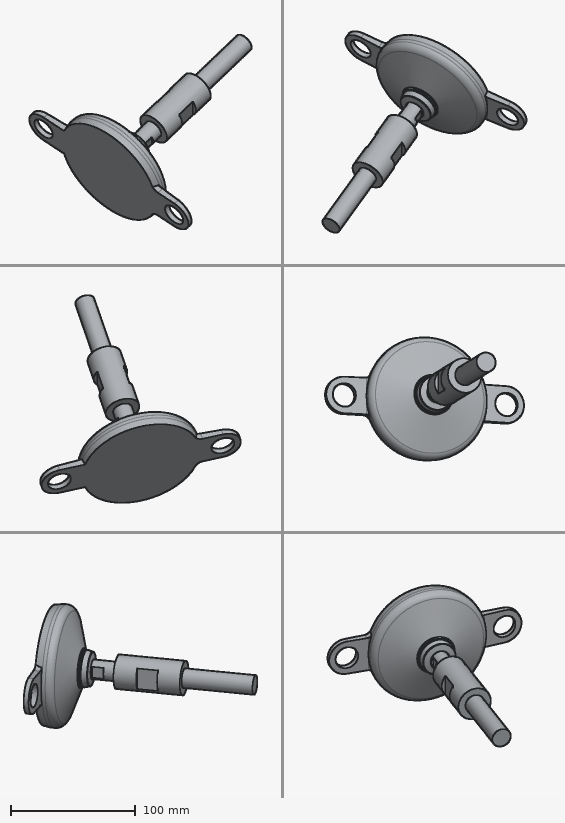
import cadquery as cq
import math


foot_radius = 50.0
underside_radius = 49.0
pad_height = 6.1
rim_top = 9.0
rim_round = 7.0
dome_top_radius = 16.3
dome_top = 26.9

flare_top_radius = 15.3
flare_top = 27.9
neck_radius = 14.8
neck_top = 28.9
collar_radius = 15.3
collar_bottom = 29.5
collar_top_radius = 14.1
collar_side_top = 34.3
collar_edge_chamfer = 0.3
lip_radius = 8.8
foot_top = 35.7

lug_center_x = 68.0
lug_radius = 15.0
lug_hole_diameter = 19.0
lug_root_x = foot_radius
lug_root_height = 5.8
lug_tip_height = 4.0
lug_tip_x = lug_center_x + lug_radius
lug_slope = (lug_root_height - lug_tip_height) / (lug_tip_x - lug_root_x)
lug_fillet = 6.3

rod_diameter = 16.0
spindle_top = 170.0
sleeve_diameter = 28.0
sleeve_bottom = 56.3
sleeve_top = 111.4
sleeve_flats_width = 21.8
sleeve_flats_bottom = 75.1
sleeve_flats_top = 92.5
rod_flats_width = 13.0
rod_flats_bottom = 36.9
rod_flats_top = 46.2


def make_foot_disc():
    """Revolve the pad, rounded rim, conical dome and stepped collar."""
    round_center_x = foot_radius - rim_round

    def rim_point(angle):
        return (round_center_x + rim_round * math.cos(angle), rim_top + rim_round * math.sin(angle))

    offset_x = dome_top_radius - round_center_x
    offset_y = dome_top - rim_top
    dome_angle = math.atan2(offset_y, offset_x)
    tangent_angle = dome_angle - math.acos(rim_round / math.hypot(offset_x, offset_y))
    return (
        cq.Workplane("XY")
        .lineTo(underside_radius, 0)
        .lineTo(foot_radius, pad_height)
        .lineTo(foot_radius, rim_top)
        .threePointArc(rim_point(tangent_angle / 2), rim_point(tangent_angle))
        .lineTo(dome_top_radius, dome_top)
        .lineTo(flare_top_radius, flare_top)
        .lineTo(neck_radius, neck_top)
        .lineTo(collar_radius, collar_bottom)
        .lineTo(collar_top_radius, collar_side_top)
        .lineTo(collar_top_radius - collar_edge_chamfer, collar_side_top + collar_edge_chamfer)
        .lineTo(lip_radius, foot_top)
        .lineTo(0, foot_top)
        .close()
        .revolve(360, (0, 0, 0), (0, 1, 0))
    )


def extrude_up(sketch):
    """Extrude an XZ outline from the underside toward +Y."""
    return sketch.extrude(-lug_root_height)


def make_lug_bar():
    """Round-ended bar across the foot, with each end sloping down to its tip."""
    bar = extrude_up(cq.Workplane("XZ").slot2D(2 * lug_tip_x, 2 * lug_radius))
    slope_profile = (
        cq.Workplane("XY", origin=(0, 0, -lug_radius))
        .polyline([
            (-lug_tip_x, 0),
            (lug_tip_x, 0),
            (lug_tip_x, lug_tip_height),
            (lug_root_x, lug_root_height),
            (-lug_root_x, lug_root_height),
            (-lug_tip_x, lug_tip_height),
        ])
        .close()
        .extrude(2 * lug_radius)
    )
    return bar.intersect(slope_profile)


def make_root_fillet(side):
    """Concave web between the disc and one edge (side = +1 or -1) of the +X lug."""
    center_z = lug_radius + lug_fillet
    center_distance = underside_radius + lug_fillet
    center_x = math.sqrt(center_distance**2 - center_z**2)
    disc_x = center_x * underside_radius / center_distance
    disc_z = center_z * underside_radius / center_distance
    start_angle = math.atan2(disc_z - center_z, disc_x - center_x)
    middle_angle = (start_angle - math.pi / 2) / 2
    middle_x = center_x + lug_fillet * math.cos(middle_angle)
    middle_z = center_z + lug_fillet * math.sin(middle_angle)
    inner_x = underside_radius - lug_radius
    outline = (
        cq.Workplane("XZ")
        .moveTo(inner_x, 0)
        .lineTo(disc_x, side * disc_z)
        .threePointArc((middle_x, side * middle_z), (center_x, side * lug_radius))
        .lineTo(center_x, 0)
        .close()
    )
    return outline.extrude(-lug_root_height + (center_x - lug_root_x) * lug_slope)


def make_foot():
    foot = make_foot_disc().union(make_lug_bar())
    for side in (-1, 1):
        foot = foot.union(make_root_fillet(side))
    holes = extrude_up(
        cq.Workplane("XZ")
        .pushPoints([(-lug_center_x, 0), (lug_center_x, 0)])
        .circle(lug_hole_diameter / 2)
    )
    return foot.cut(holes)


def make_cylinder(diameter, bottom, top):
    return cq.Workplane("XZ", origin=(0, bottom, 0)).circle(diameter / 2).extrude(bottom - top)


def cut_flats(body, diameter, flats_width, bottom, top):
    """Cut two wrench flats, facing -X and +X, between the two heights."""
    depth = (diameter - flats_width) / 2
    for side in (-1, 1):
        center = (side * (flats_width + depth) / 2, (bottom + top) / 2, 0)
        body = body.cut(cq.Workplane("XY", origin=center).box(depth, top - bottom, diameter))
    return body


def make_spindle():
    """Rod standing on the collar, with a larger sleeve and two pairs of flats."""
    rod = make_cylinder(rod_diameter, foot_top, spindle_top)
    rod = cut_flats(rod, rod_diameter, rod_flats_width, rod_flats_bottom, rod_flats_top)
    sleeve = make_cylinder(sleeve_diameter, sleeve_bottom, sleeve_top)
    sleeve = cut_flats(sleeve, sleeve_diameter, sleeve_flats_width, sleeve_flats_bottom, sleeve_flats_top)
    return rod.union(sleeve)


foot = make_foot()
spindle = make_spindle()
result = cq.Compound.makeCompound([foot.val(), spindle.val()])